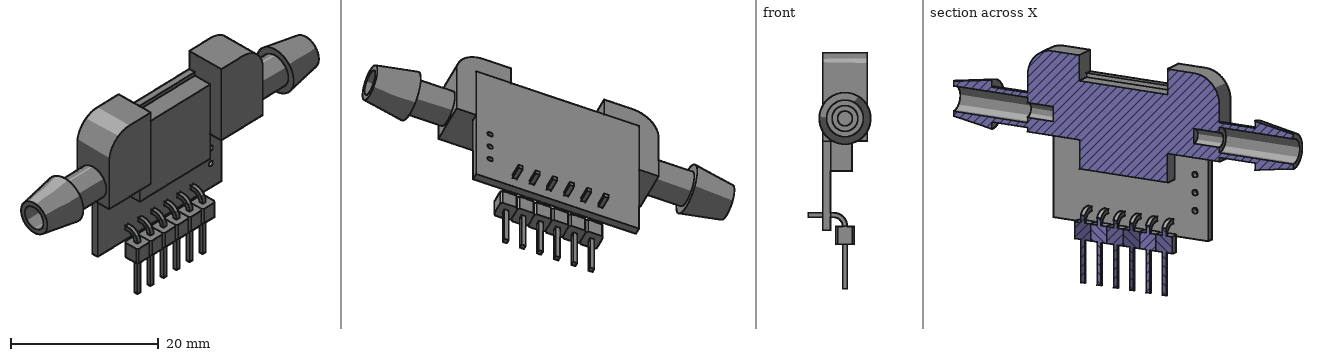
import cadquery as cq


overall_length = 53.0
housing_length = 30.0
housing_depth = 6.05
housing_top = 8.9
arm_bottom = -3.1
arm_gap = 13.8
arm_corner_radius = 4.0
core_depth = 4.0
core_top = 5.3
core_bottom = -7.15

port_diameter = 5.0
barb_diameter = 7.0
barb_length = 6.0
bore_diameter = 3.5
inlet_diameter = 2.0
inlet_depth = 4.0

board_width = 24.15
board_thickness = 1.05
board_top = 5.9
board_bottom = -15.15
trim_hole_count = 3
trim_hole_diameter = 0.8
trim_hole_y = 10.0
trim_hole_top = -6.05

pin_count = 6
pin_pitch = 2.55
pin_width = 0.65
pin_tip_x = -5.0
pin_leg_z = -13.1
pin_bend_radius = 1.55
pin_bottom = -23.1
collar_height = 2.45
collar_chamfer = 0.25

back_x = -housing_depth / 2
arm_length = (housing_length - arm_gap) / 2
arm_height = housing_top - arm_bottom
arm_center_y = (housing_length - arm_length) / 2
port_length = (overall_length - housing_length) / 2
board_height = board_top - board_bottom
collar_top = pin_leg_z - pin_bend_radius
collar_bottom = collar_top - collar_height
pin_positions = [(i - (pin_count - 1) / 2) * pin_pitch for i in range(pin_count)]
trim_hole_heights = [trim_hole_top - i * pin_pitch for i in range(trim_hole_count)]


def make_board_blank():
    """Plain board plate, flush with the back of the housing."""
    return cq.Workplane("XY").box(
        board_thickness, board_width, board_height, centered=(False, True, False)
    ).translate((back_x, 0, board_bottom))


def make_arm():
    """Block at the +Y end of the housing, rounded at its upper outer edge."""
    return (
        cq.Workplane("XY")
        .box(housing_depth, arm_length, arm_height, centered=(True, True, False))
        .edges(">Y and >Z")
        .fillet(arm_corner_radius)
        .translate((0, arm_center_y, arm_bottom))
    )


def make_core():
    """Thinner block that joins the two arms, a little lower than the board top."""
    return cq.Workplane("XY").box(
        core_depth, arm_gap, core_top - core_bottom, centered=(False, True, False)
    ).translate((back_x, 0, core_bottom))


def make_port():
    """Hose port at the +Y end: a round neck with a tapered barb."""
    arm_face = housing_length / 2
    tip = overall_length / 2
    barb_start = tip - barb_length
    return (
        cq.Workplane("XY")
        .moveTo(0, arm_face)
        .lineTo(port_diameter / 2, arm_face)
        .lineTo(port_diameter / 2, barb_start)
        .lineTo(barb_diameter / 2, barb_start)
        .lineTo(port_diameter / 2, tip)
        .lineTo(0, tip)
        .close()
        .revolve(360, (0, 0, 0), (0, 1, 0))
    )


def make_port_passage():
    """Wide bore along the port, with a narrower blind inlet into the arm."""
    tip_plane = cq.Workplane("XZ", origin=(0, overall_length / 2, 0))
    bore = tip_plane.circle(bore_diameter / 2).extrude(port_length)
    inlet = tip_plane.circle(inlet_diameter / 2).extrude(port_length + inlet_depth)
    return bore.union(inlet)


def make_housing():
    """Sensor housing: core, two arms with hose ports, and a recess for the board."""
    end = make_arm().union(make_port()).cut(make_port_passage())
    return make_core().union(end).union(end.mirror("XZ")).cut(make_board_blank())


def make_pin_rod(y):
    """Square rod with a horizontal leg, a quarter bend and a vertical leg."""
    path = (
        cq.Workplane("XZ", origin=(0, y, 0))
        .moveTo(pin_tip_x, pin_leg_z)
        .lineTo(-pin_bend_radius, pin_leg_z)
        .radiusArc((0, collar_top), pin_bend_radius)
        .lineTo(0, pin_bottom)
    )
    return (
        cq.Workplane("YZ", origin=(pin_tip_x, y, pin_leg_z))
        .rect(pin_width, pin_width)
        .sweep(path)
    )


def make_pin(y):
    """Header pin with its chamfered collar, touching the collars beside it."""
    collar = (
        cq.Workplane("XY", origin=(0, y, collar_bottom))
        .rect(pin_pitch, pin_pitch)
        .extrude(collar_height)
        .edges("|Z")
        .chamfer(collar_chamfer)
    )
    return make_pin_rod(y).union(collar)


def make_board():
    """Circuit board with trim holes and a square hole for each header pin."""
    trim_holes = (
        cq.Workplane("YZ", origin=(back_x, 0, 0))
        .pushPoints([(trim_hole_y, z) for z in trim_hole_heights])
        .circle(trim_hole_diameter / 2)
        .extrude(board_thickness)
    )
    pin_holes = (
        cq.Workplane("YZ", origin=(back_x, 0, 0))
        .pushPoints([(y, pin_leg_z) for y in pin_positions])
        .rect(pin_width, pin_width)
        .extrude(board_thickness)
    )
    return make_board_blank().cut(trim_holes).cut(pin_holes)


housing = make_housing()
board = make_board()
pins = [make_pin(y) for y in pin_positions]

bodies = [housing, board, *pins]
result = cq.Compound.makeCompound([body.solids().val() for body in bodies])